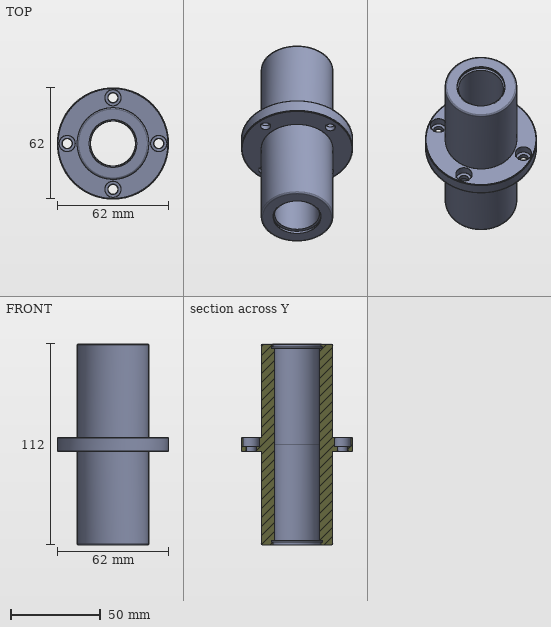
import cadquery as cq

sleeve_diameter = 40.0
sleeve_length = 112.0
sleeve_edge_radius = 0.8

bore_diameter = 25.0
mouth_diameter = 26.6
undercut_diameter = 28.2
mouth_depth = 2.4
lip_thickness = 1.6

flange_diameter = 62.0
flange_thickness = 8.0
flange_chamfer = 0.4

screw_count = 4
screw_circle_diameter = 51.0
screw_hole_diameter = 5.5
counterbore_diameter = 9.0
counterbore_depth = 5.1


def centred_cylinder(diameter, length):
    """Solid cylinder on the Z axis, centred on the origin."""
    return cq.Workplane("XY", origin=(0, 0, -length / 2)).circle(diameter / 2).extrude(length)


def make_sleeve():
    return centred_cylinder(sleeve_diameter, sleeve_length).faces("|Z").edges().fillet(sleeve_edge_radius)


def make_flange():
    return centred_cylinder(flange_diameter, flange_thickness).faces("|Z").edges().chamfer(flange_chamfer)


def cut_screw_holes(body):
    return (
        body.faces(">Z")
        .workplane()
        .polarArray(screw_circle_diameter / 2, 0, 360, screw_count)
        .cboreHole(screw_hole_diameter, counterbore_diameter, counterbore_depth)
    )


def make_bore():
    """Upper half of the bore as a revolved stepped profile, mirrored to the lower half."""
    end_z = sleeve_length / 2
    lip_z = end_z - lip_thickness
    floor_z = end_z - mouth_depth
    upper_half = (
        cq.Workplane("XZ")
        .moveTo(0, 0)
        .lineTo(bore_diameter / 2, 0)
        .lineTo(bore_diameter / 2, floor_z)
        .lineTo(undercut_diameter / 2, floor_z)
        .lineTo(undercut_diameter / 2, lip_z)
        .lineTo(mouth_diameter / 2, lip_z)
        .lineTo(mouth_diameter / 2, end_z)
        .lineTo(0, end_z)
        .close()
        .revolve(360, (0, 0, 0), (0, 1, 0))
    )
    return upper_half.union(upper_half.mirror("XY"))


flange = cut_screw_holes(make_flange())
result = make_sleeve().union(flange).cut(make_bore())